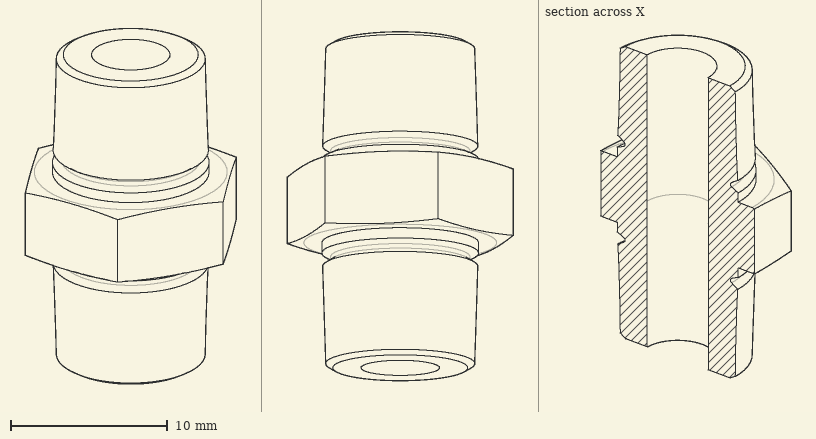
import cadquery as cq
import math

total_length = 21.0
half_length = total_length / 2
bore_diameter = 5.0

hex_across_flats = 12.7
hex_across_corners = hex_across_flats / math.cos(math.pi / 6)
hex_half_height = 2.37
hex_face_radius = 6.15
hex_bevel_drop = 0.2

collar_radius = 5.0
collar_end = 3.05

groove_center = 3.45
groove_root_radius = 4.37
groove_root_depth = 0.08
groove_root_half_width = 0.15
groove_flank_radius = groove_root_radius + groove_root_depth

taper_start = 3.9
taper_start_radius = 4.95
taper_slope = 1 / 32
tip_chamfer_length = 0.27
tip_radius = 4.3
taper_end = half_length - tip_chamfer_length
taper_end_radius = taper_start_radius - taper_slope * (taper_end - taper_start)


def make_hexagon():
    """Hexagonal prism centred on the origin, bevelled at both ends."""
    prism = (
        cq.Workplane("XY")
        .polygon(6, hex_across_corners)
        .extrude(hex_half_height, both=True)
    )
    corner_radius = hex_across_corners / 2
    bevel_end = hex_half_height - hex_bevel_drop
    envelope = (
        cq.Workplane("XZ")
        .moveTo(0, -hex_half_height)
        .lineTo(hex_face_radius, -hex_half_height)
        .lineTo(corner_radius, -bevel_end)
        .lineTo(corner_radius, bevel_end)
        .lineTo(hex_face_radius, hex_half_height)
        .lineTo(0, hex_half_height)
        .close()
        .revolve(360, (0, 0, 0), (0, 1, 0))
    )
    return prism.intersect(envelope)


def make_upper_end():
    """Collar, groove and tapered end, revolved about Z from the middle up."""
    return (
        cq.Workplane("XZ")
        .lineTo(collar_radius, 0)
        .lineTo(collar_radius, collar_end)
        .lineTo(groove_flank_radius, groove_center - groove_root_half_width)
        .threePointArc(
            (groove_root_radius, groove_center),
            (groove_flank_radius, groove_center + groove_root_half_width),
        )
        .lineTo(taper_start_radius, taper_start)
        .lineTo(taper_end_radius, taper_end)
        .lineTo(tip_radius, half_length)
        .lineTo(0, half_length)
        .close()
        .revolve(360, (0, 0, 0), (0, 1, 0))
    )


upper_end = make_upper_end()
lower_end = upper_end.mirror("XY")
bore = (
    cq.Workplane("XY")
    .circle(bore_diameter / 2)
    .extrude(half_length, both=True)
)

result = make_hexagon().union(upper_end).union(lower_end).cut(bore)